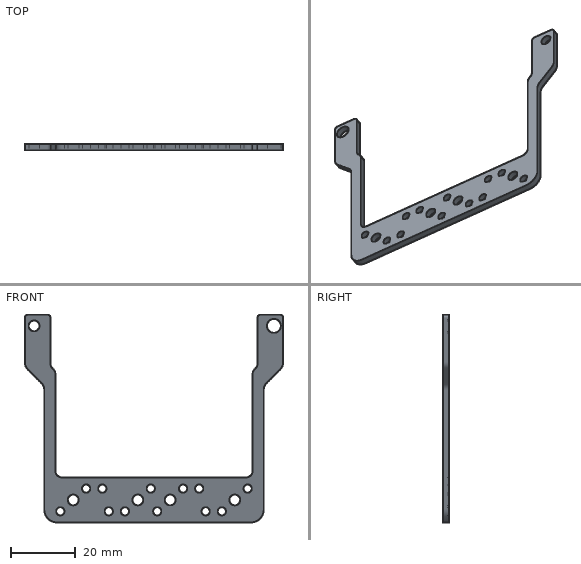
import cadquery as cq

width = 80.0
height = 64.4
thickness = 2.0
half_width = width / 2

base_height = 14.0
post_outer_x = 34.0
post_width = 3.5
post_inner_x = post_outer_x - post_width

arm_width = 8.0
arm_inner_x = half_width - arm_width
step_z = 48.3

base_corner_radius = 4.0
inner_corner_radius = 2.0
outer_step_radius = 3.0
inner_step_radius = 2.0
tip_radius = 1.0

tip_hole_x = 37.1
tip_hole_z = 60.9
left_tip_hole_diameter = 3.3
right_tip_hole_diameter = 4.2
large_hole_diameter = 3.3
small_hole_diameter = 2.5
hole_pitch = 10.0
row_offset = 3.5
diagonal_offset_x = 4.0
pair_offset_x = hole_pitch / 10
cut_margin = 0.8

pick_reach = 0.1


def block(points):
    """Extrude an XZ outline through the plate thickness, centred on Y."""
    front = cq.Workplane("XZ", origin=(0, -thickness / 2, 0))
    return front.polyline(points).close().extrude(-thickness)


def round_corner(body, x, z, radius):
    """Round the through-thickness edges at (x, z) and its mirror image."""
    for side in (-1, 1):
        near = cq.selectors.BoxSelector(
            (side * x - pick_reach, -thickness, z - pick_reach),
            (side * x + pick_reach, thickness, z + pick_reach),
        )
        body = body.edges("|Y").edges(near).fillet(radius)
    return body


def make_plate():
    """U-shaped plate with stepped arms and rounded corners."""
    corners = [
        (post_outer_x, 0, base_corner_radius),
        (post_outer_x, step_z - (half_width - post_outer_x), outer_step_radius),
        (half_width, step_z, outer_step_radius),
        (half_width, height, tip_radius),
        (arm_inner_x, height, tip_radius),
        (arm_inner_x, step_z, inner_step_radius),
        (post_inner_x, step_z - (arm_inner_x - post_inner_x), inner_step_radius),
        (post_inner_x, base_height, inner_corner_radius),
    ]
    right_half = [(x, z) for x, z, _ in corners]
    left_half = [(-x, z) for x, z in reversed(right_half)]
    body = block(right_half + left_half)
    for x, z, radius in corners:
        body = round_corner(body, x, z, radius)
    return body


def drill(body, centres, diameter):
    """Drill through holes along Y at the given (x, z) centres."""
    start = cq.Workplane("XZ", origin=(0, -thickness / 2 - cut_margin, 0))
    depth = thickness + 2 * cut_margin
    drills = start.pushPoints(centres).circle(diameter / 2).extrude(-depth)
    return body.cut(drills)


middle_z = base_height / 2
upper_z = middle_z + row_offset
lower_z = middle_z - row_offset

large_xs = [step * hole_pitch for step in (-2.5, -0.5, 0.5, 2.5)]
large_holes = [(x, middle_z) for x in large_xs]
small_holes = []
for x in large_xs:
    small_holes.append((x - diagonal_offset_x, lower_z))
    small_holes.append((x + diagonal_offset_x, upper_z))

for x in (-1.5 * hole_pitch, 1.5 * hole_pitch):
    small_holes.append((x - pair_offset_x, upper_z))
    small_holes.append((x + pair_offset_x, lower_z))

result = make_plate()
result = drill(result, large_holes, large_hole_diameter)
result = drill(result, small_holes, small_hole_diameter)
result = drill(result, [(-tip_hole_x, tip_hole_z)], left_tip_hole_diameter)
result = drill(result, [(tip_hole_x, tip_hole_z)], right_tip_hole_diameter)